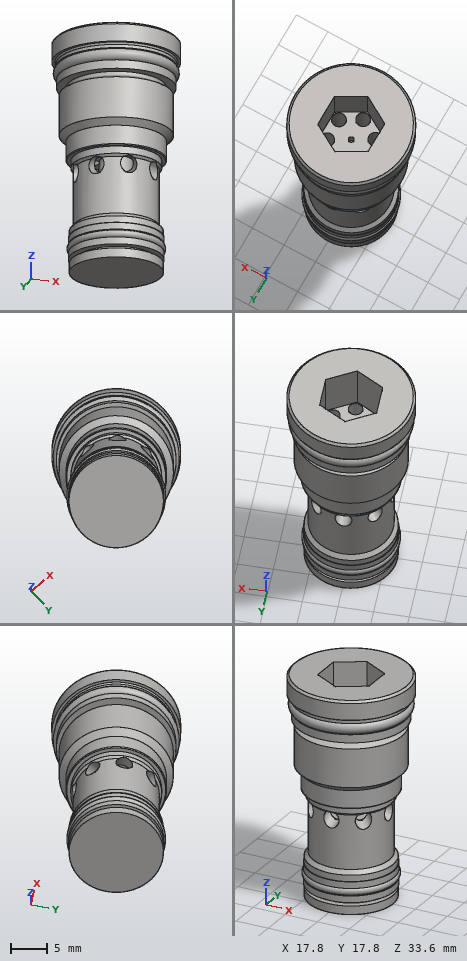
import cadquery as cq
import math

overall_height = 33.58
head_bottom = 30.73
head_relief_bottom = 30.42
upper_groove_top = 29.95
barrel_top = 25.85
barrel_bottom = 19.98
collar_top = 19.1
collar_bottom = 16.3
step_bottom = 14.9
sleeve_bottom = 6.6
lower_land_top = 6.0
lower_groove_top = 5.05
lower_groove_bottom = 1.3

head_radius = 8.9
head_relief_radius = 8.5
shoulder_radius = 8.35
neck_radius = 6.95
barrel_radius = 7.9
step_radius = 6.28
sleeve_radius = 5.95
lower_land_radius = 6.5
lower_groove_radius = 5.55

barrel_slope = 30.0
neck_fillet = 0.4

head_chamfer = 0.35
collar_chamfer = 0.15
step_chamfer = step_radius - sleeve_radius

upper_bead_height = 1.75
upper_bead_radius = 8.7
upper_ring_height = 1.25
upper_ring_radius = 8.25

lower_bead_height = 1.15
lower_bead_radius = 6.8
lower_ring_height = 1.0
lower_ring_radius = 6.6

socket_across_flats = 8.0
socket_depth = 6.7
socket_floor = overall_height - socket_depth
floor_hole_count = 6
floor_hole_radius = 1.0
floor_hole_circle_radius = 3.32
pilot_hole_radius = 0.4
pilot_hole_depth = 1.68

chamber_radius = floor_hole_circle_radius + floor_hole_radius
chamber_top = collar_bottom
chamber_bottom = 13.23
core_top_radius = floor_hole_circle_radius - floor_hole_radius
core_bottom_radius = 2.6
port_count = 8
port_radius = 1.18
port_centre_height = 13.9
port_slope = 24.0


def turned_body():
    """Solid of revolution with both seal grooves, before any cavity is cut."""
    slope = math.radians(barrel_slope)
    blend_end_radius = neck_radius + neck_fillet * (1 - math.sin(slope))
    blend_end_height = barrel_top + (barrel_radius - blend_end_radius) * math.tan(slope)
    blend_centre_radius = neck_radius + neck_fillet
    blend_centre_height = blend_end_height + neck_fillet * math.cos(slope)
    half_sweep = (math.pi / 2 - slope) / 2
    blend_middle = (
        blend_centre_radius - neck_fillet * math.cos(half_sweep),
        blend_centre_height - neck_fillet * math.sin(half_sweep),
    )

    below_blend = [
        (lower_land_radius, 0),
        (lower_land_radius, lower_groove_bottom),
        (lower_groove_radius, lower_groove_bottom),
        (lower_groove_radius, lower_groove_top),
        (lower_land_radius, lower_groove_top),
        (lower_land_radius, lower_land_top),
        (sleeve_radius, sleeve_bottom),
        (sleeve_radius, step_bottom),
        (step_radius, step_bottom + step_chamfer),
        (step_radius, collar_bottom),
        (neck_radius - collar_chamfer, collar_bottom),
        (neck_radius, collar_bottom + collar_chamfer),
        (neck_radius, collar_top),
        (barrel_radius, barrel_bottom),
        (barrel_radius, barrel_top),
        (blend_end_radius, blend_end_height),
    ]
    above_blend = [
        (neck_radius, blend_centre_height),
        (neck_radius, upper_groove_top),
        (shoulder_radius, upper_groove_top),
        (shoulder_radius, head_relief_bottom),
        (head_relief_radius, head_bottom),
        (head_radius, head_bottom),
        (head_radius, overall_height - head_chamfer),
        (head_radius - head_chamfer, overall_height),
        (0, overall_height),
    ]
    return (
        cq.Workplane("XZ")
        .polyline([(0, 0)] + below_blend)
        .threePointArc(blend_middle, above_blend[0])
        .polyline(above_blend[1:], includeCurrent=True)
        .close()
        .revolve(360, (0, 0), (0, 1))
    )


def hex_socket():
    """Hexagonal drive pocket with two of its corners on the Y axis."""
    across_corners = socket_across_flats / math.cos(math.radians(30))
    return (
        cq.Workplane("XY")
        .workplane(offset=socket_floor)
        .transformed(rotate=(0, 0, 90))
        .polygon(6, across_corners)
        .extrude(socket_depth)
    )


def floor_holes():
    """Ring of holes from the socket floor down into the chamber."""
    return (
        cq.Workplane("XY")
        .workplane(offset=chamber_top)
        .polarArray(floor_hole_circle_radius, 90, 360, floor_hole_count)
        .circle(floor_hole_radius)
        .extrude(socket_floor - chamber_top)
    )


def pilot_hole():
    """Blind hole on the axis, in the middle of the socket floor."""
    return (
        cq.Workplane("XY")
        .workplane(offset=socket_floor - pilot_hole_depth)
        .circle(pilot_hole_radius)
        .extrude(pilot_hole_depth)
    )


def chamber_with_ports():
    """Space around the tapered core, with round ports rising inward through the sleeve wall."""
    chamber_height = chamber_top - chamber_bottom
    cavity = (
        cq.Workplane("XY")
        .workplane(offset=chamber_bottom)
        .circle(chamber_radius)
        .extrude(chamber_height)
    )

    slope = math.radians(port_slope)
    run_outside = 2 * port_radius
    start_radius = sleeve_radius + run_outside
    start_height = port_centre_height - run_outside * math.tan(slope)
    drill_length = (start_radius - floor_hole_circle_radius) / math.cos(slope)
    drill = cq.Workplane(
        obj=cq.Solid.makeCylinder(
            port_radius,
            drill_length,
            cq.Vector(start_radius, 0, start_height),
            cq.Vector(-math.cos(slope), 0, math.sin(slope)),
        )
    )
    for index in range(port_count):
        cavity = cavity.union(drill.rotate((0, 0, 0), (0, 0, 1), index * 360 / port_count))

    core = cq.Solid.makeCone(
        core_bottom_radius, core_top_radius, chamber_height, cq.Vector(0, 0, chamber_bottom)
    )
    return cavity.cut(cq.Workplane(obj=core))


def make_body():
    return (
        turned_body()
        .cut(hex_socket())
        .cut(floor_holes())
        .cut(pilot_hole())
        .cut(chamber_with_ports())
    )


def make_seal(inner_radius, bead_radius, ring_radius, bead_bottom, bead_height, lower_ring, upper_ring):
    """One-piece seal: a half-round bead with a flat backup ring below and, optionally, above it."""
    bead_top = bead_bottom + bead_height
    bead_middle = bead_bottom + bead_height / 2
    bead_foot_radius = bead_radius - bead_height / 2
    outline = (
        cq.Workplane("XZ")
        .moveTo(inner_radius, bead_bottom - lower_ring)
        .lineTo(ring_radius, bead_bottom - lower_ring)
        .lineTo(ring_radius, bead_bottom)
        .lineTo(bead_foot_radius, bead_bottom)
        .threePointArc((bead_radius, bead_middle), (bead_foot_radius, bead_top))
    )
    if upper_ring > 0:
        outline = outline.lineTo(ring_radius, bead_top).lineTo(ring_radius, bead_top + upper_ring)
    outline = outline.lineTo(inner_radius, bead_top + upper_ring)
    return outline.close().revolve(360, (0, 0), (0, 1))


body = make_body()

upper_seal = make_seal(
    inner_radius=neck_radius,
    bead_radius=upper_bead_radius,
    ring_radius=upper_ring_radius,
    bead_bottom=upper_groove_top - upper_bead_height,
    bead_height=upper_bead_height,
    lower_ring=upper_ring_height,
    upper_ring=0,
)

lower_seal = make_seal(
    inner_radius=lower_groove_radius,
    bead_radius=lower_bead_radius,
    ring_radius=lower_ring_radius,
    bead_bottom=lower_groove_top - lower_ring_height - lower_bead_height,
    bead_height=lower_bead_height,
    lower_ring=lower_ring_height,
    upper_ring=lower_ring_height,
)

result = cq.Compound.makeCompound([body.val(), upper_seal.val(), lower_seal.val()])